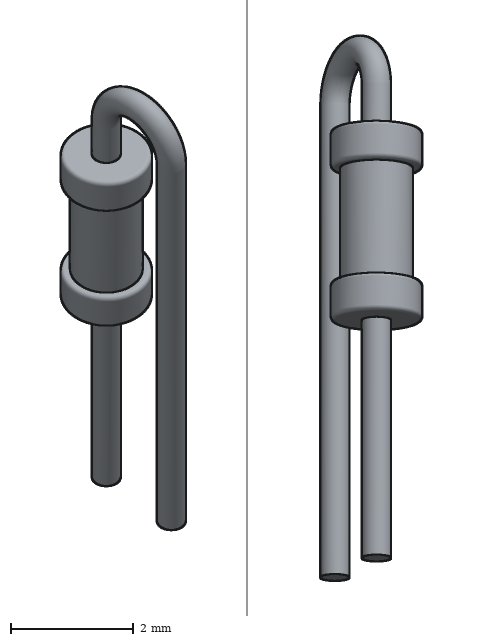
import cadquery as cq

total_height = 8.94
wire_diameter = 0.48
lead_spacing = 1.5

barrel_diameter = 1.2
cap_diameter = 1.5
cap_height = 0.635
cap_edge_fillet = 0.07
body_bottom = 4.005
body_length = 3.19

bend_radius = lead_spacing / 2
bend_start = total_height - bend_radius - wire_diameter / 2
body_top = body_bottom + body_length


def cylinder(diameter, bottom, height):
    """Upright cylinder on the body axis."""
    return cq.Workplane("XY").workplane(offset=bottom).circle(diameter / 2).extrude(height)


def end_cap(bottom):
    """Wide cap with both rims rounded."""
    return cylinder(cap_diameter, bottom, cap_height).edges().fillet(cap_edge_fillet)


def bent_wire():
    """Wire up through the body, over a half-circle bend and down to the base."""
    path = (
        cq.Workplane("XZ")
        .lineTo(0, bend_start)
        .threePointArc((bend_radius, bend_start + bend_radius), (lead_spacing, bend_start))
        .lineTo(lead_spacing, 0)
    )
    return cq.Workplane("XY").circle(wire_diameter / 2).sweep(path)


barrel = cylinder(barrel_diameter, body_bottom + cap_height / 2, body_length - cap_height)

result = (
    barrel
    .union(end_cap(body_bottom))
    .union(end_cap(body_top - cap_height))
    .union(bent_wire())
)